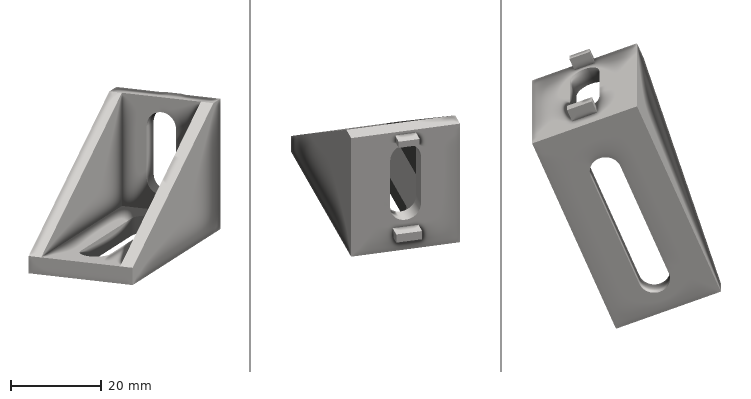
import cadquery as cq

width = 25.0
height = 30.0
total_depth = 53.0
tab_length = 3.0
body_depth = total_depth - tab_length
plate_thickness = 4.0
wall_thickness = 3.0
inner_width = width - 2 * wall_thickness

slot_width = 7.05
base_slot_length = 36.0
base_slot_start = 5.0
back_slot_length = 19.05
back_slot_start = 7.5

upper_tab_width = 4.8
upper_tab_height = 1.55
upper_tab_top_gap = 0.8
lower_tab_width = 5.95
lower_tab_height = 2.05
lower_tab_bottom = 3.75
upper_tab_bottom = height - upper_tab_top_gap - upper_tab_height


def make_body():
    """Wedge with its inside removed, leaving base, back plate and side walls."""
    wedge = (
        cq.Workplane("YZ")
        .moveTo(0, 0)
        .lineTo(body_depth, 0)
        .lineTo(body_depth, height)
        .lineTo(body_depth - plate_thickness, height)
        .lineTo(0, plate_thickness)
        .close()
        .extrude(width / 2, both=True)
    )
    cavity = cq.Workplane("XY").box(
        inner_width,
        body_depth - plate_thickness,
        height - plate_thickness,
        centered=(True, False, False),
    )
    return wedge.cut(cavity.translate((0, 0, plate_thickness)))


def base_slot():
    """Long slot through the base plate."""
    return (
        cq.Workplane("XY")
        .center(0, base_slot_start + base_slot_length / 2)
        .slot2D(base_slot_length, slot_width, 90)
        .extrude(plate_thickness)
    )


def back_slot():
    """Short slot through the back plate."""
    return (
        cq.Workplane("XZ", origin=(0, body_depth, 0))
        .center(0, back_slot_start + back_slot_length / 2)
        .slot2D(back_slot_length, slot_width, 90)
        .extrude(plate_thickness)
    )


def locating_tab(tab_width, tab_height, bottom):
    """Rectangular tab standing out of the back face."""
    tab = cq.Workplane("XY").box(tab_width, tab_length, tab_height, centered=(True, False, False))
    return tab.translate((0, body_depth, bottom))


result = (
    make_body()
    .cut(base_slot())
    .cut(back_slot())
    .union(locating_tab(upper_tab_width, upper_tab_height, upper_tab_bottom))
    .union(locating_tab(lower_tab_width, lower_tab_height, lower_tab_bottom))
)